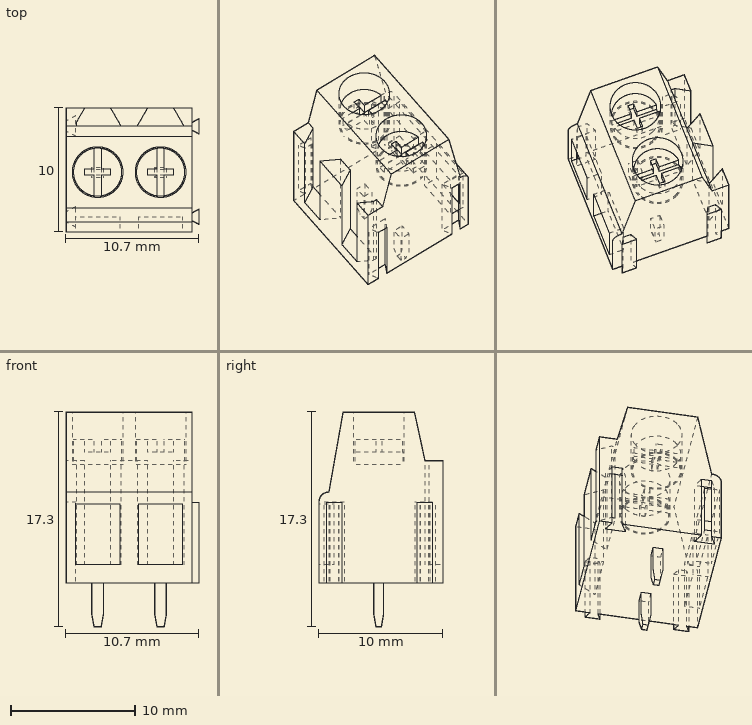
import cadquery as cq
import math


overall_height = 17.3

housing_width = 10.15
housing_depth = 10.0
housing_height = 13.77
tower_front_y = 1.94
tower_rear_y = 7.7
shoulder_y = 0.8
shoulder_z = 7.34
ledge_y = 8.55
ledge_z = 9.86

pole_pitch = 5.07
pole_xs = [housing_width / 2 + side * pole_pitch / 2 for side in (-1, 1)]

dovetail_slope = math.tan(math.radians(28))
rail_reach = 0.55
rail_root_width = 0.65
rail_ys = (1.23, 8.51)
rail_height = 6.49
groove_depth = 0.78
groove_mouth_width = 0.81
groove_ys = (1.23, 8.55)
groove_height = 6.54

window_width = 3.56
window_depth = 1.23
window_bottom_z = 1.5
window_top_z = 6.38

rear_slot_mouth_width = 2.08
rear_slot_flare = math.tan(math.radians(30))
rear_slot_bottom_z = window_bottom_z
rear_slot_side_wall = 0.85

screw_y = 4.83
bore_radius = 2.05
screw_radius = 1.94
screw_recess = 2.21
screw_length = 2.0
slot_width = 0.59
cross_slot_width = 0.47
cross_slot_length = 2.08
slot_depth = 1.0

pin_width = 0.95
pin_thickness = 0.8
pin_y = 4.81
pin_length = overall_height - housing_height
pin_tip_length = 1.0
pin_tip_width = 0.59
pin_tip_thickness = 0.45


def box(x_range, y_range, z_range):
    """Block between the given limits along each axis."""
    size = [high - low for low, high in (x_range, y_range, z_range)]
    return cq.Workplane("XY").box(*size, centered=False).translate((x_range[0], y_range[0], z_range[0]))


def dovetail(face_x, centre_y, narrow_width, length, height):
    """Upright dovetail that widens from its narrow side at face_x toward +X."""
    narrow_half = narrow_width / 2
    wide_half = narrow_half + length * dovetail_slope
    return (
        cq.Workplane("XY")
        .polyline([
            (face_x, centre_y - narrow_half),
            (face_x + length, centre_y - wide_half),
            (face_x + length, centre_y + wide_half),
            (face_x, centre_y + narrow_half),
        ])
        .close()
        .extrude(height)
    )


def make_housing_shell():
    """Side profile with its rounded front shoulder, extruded across the width."""
    arc_centre_z = shoulder_z - shoulder_y
    diagonal = shoulder_y * math.sqrt(0.5)
    return (
        cq.Workplane("YZ")
        .moveTo(0, 0)
        .lineTo(0, arc_centre_z)
        .threePointArc((shoulder_y - diagonal, arc_centre_z + diagonal), (shoulder_y, shoulder_z))
        .lineTo(tower_front_y, housing_height)
        .lineTo(tower_rear_y, housing_height)
        .lineTo(ledge_y, ledge_z)
        .lineTo(housing_depth, ledge_z)
        .lineTo(housing_depth, 0)
        .close()
        .extrude(housing_width)
    )


def make_rear_slot(pole_x):
    """Slot that flares from the rear face to the foot of the tower, kept clear of the left side."""
    mouth_half = rear_slot_mouth_width / 2
    inner_half = mouth_half + (housing_depth - ledge_y) * rear_slot_flare
    slot = (
        cq.Workplane("XY")
        .workplane(offset=rear_slot_bottom_z)
        .polyline([
            (pole_x - inner_half, ledge_y),
            (pole_x + inner_half, ledge_y),
            (pole_x + mouth_half, housing_depth),
            (pole_x - mouth_half, housing_depth),
        ])
        .close()
        .extrude(ledge_z - rear_slot_bottom_z)
    )
    allowed = box((rear_slot_side_wall, housing_width), (0, housing_depth), (0, housing_height))
    return slot.intersect(allowed)


def make_bore(pole_x):
    """Round bore from the top of the tower down to the seat of the screw."""
    bore_depth = screw_recess + screw_length
    return (
        cq.Workplane("XY")
        .workplane(offset=housing_height - bore_depth)
        .center(pole_x, screw_y)
        .circle(bore_radius)
        .extrude(bore_depth)
    )


def make_window(pole_x):
    """Rectangular wire window in the front face."""
    half = window_width / 2
    return box((pole_x - half, pole_x + half), (0, window_depth), (window_bottom_z, window_top_z))


def make_housing():
    housing = make_housing_shell()
    for rail_y in rail_ys:
        rail = dovetail(housing_width, rail_y, rail_root_width, rail_reach, rail_height)
        housing = housing.union(rail)
    for groove_y in groove_ys:
        groove = dovetail(0, groove_y, groove_mouth_width, groove_depth, groove_height)
        housing = housing.cut(groove)
    for pole_x in pole_xs:
        housing = housing.cut(make_window(pole_x))
        housing = housing.cut(make_rear_slot(pole_x))
        housing = housing.cut(make_bore(pole_x))
    return housing


def make_screw(pole_x):
    """Screw head on the seat of its bore, with a full slot and a shorter cross slot."""
    top_z = housing_height - screw_recess
    head = cq.Workplane("XY").workplane(offset=top_z - screw_length).circle(screw_radius).extrude(screw_length)
    slot_plane = cq.Workplane("XY").workplane(offset=top_z - slot_depth)
    full_slot = slot_plane.rect(slot_width, 2 * screw_radius).extrude(slot_depth)
    cross_slot = slot_plane.rect(cross_slot_length, cross_slot_width).extrude(slot_depth)
    return head.cut(full_slot).cut(cross_slot).translate((pole_x, screw_y, 0))


def make_pin(pole_x):
    """Solder pin below the housing with a tapered tip."""
    shank_length = pin_length - pin_tip_length
    shank = cq.Workplane("XY").rect(pin_width, pin_thickness).extrude(-shank_length)
    tip = (
        cq.Workplane("XY")
        .workplane(offset=-shank_length)
        .rect(pin_width, pin_thickness)
        .workplane(offset=-pin_tip_length)
        .rect(pin_tip_width, pin_tip_thickness)
        .loft()
    )
    return shank.union(tip).translate((pole_x, pin_y, 0))


housing = make_housing()
screws = [make_screw(pole_x) for pole_x in pole_xs]
pins = [make_pin(pole_x) for pole_x in pole_xs]

result = cq.Compound.makeCompound([
    housing.val(),
    *[screw.val() for screw in screws],
    *[pin.val() for pin in pins],
])